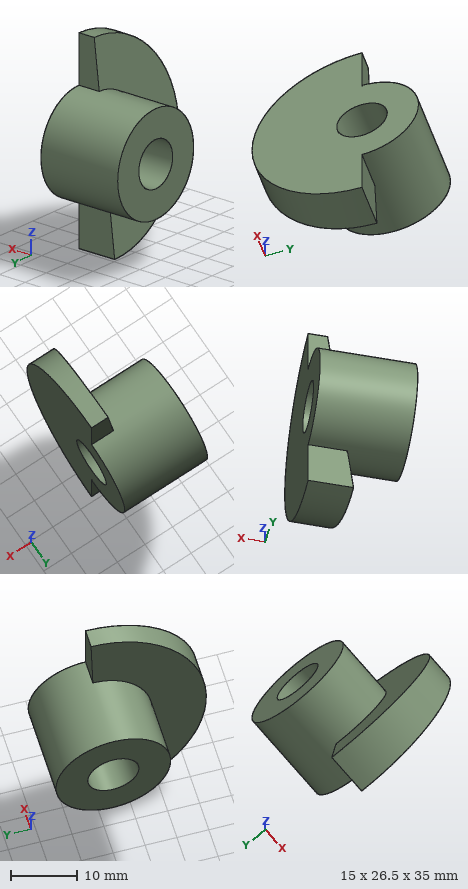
import cadquery as cq

flange_diameter = 35.0
hub_diameter = 18.0
bore_diameter = 8.0
hub_length = 15.0
flange_thin = 3.0
flange_thick = 7.0

flange_radius = flange_diameter / 2


def make_hub():
    """Plain cylinder from X = 0 to the back face."""
    return cq.Workplane("YZ").circle(hub_diameter / 2).extrude(hub_length)


def make_flange():
    """Half disc on the -Y side, its front face sloping from thick to thin."""
    half_disc = (
        cq.Workplane("YZ")
        .moveTo(0, flange_radius)
        .threePointArc((-flange_radius, 0), (0, -flange_radius))
        .close()
        .extrude(hub_length)
    )
    wedge = (
        cq.Workplane("XZ")
        .polyline([
            (hub_length, -flange_radius),
            (hub_length - flange_thick, -flange_radius),
            (hub_length - flange_thin, flange_radius),
            (hub_length, flange_radius),
        ])
        .close()
        .extrude(flange_radius)
    )
    return half_disc.intersect(wedge)


bore = cq.Workplane("YZ").circle(bore_diameter / 2).extrude(hub_length)

result = make_hub().union(make_flange()).cut(bore)